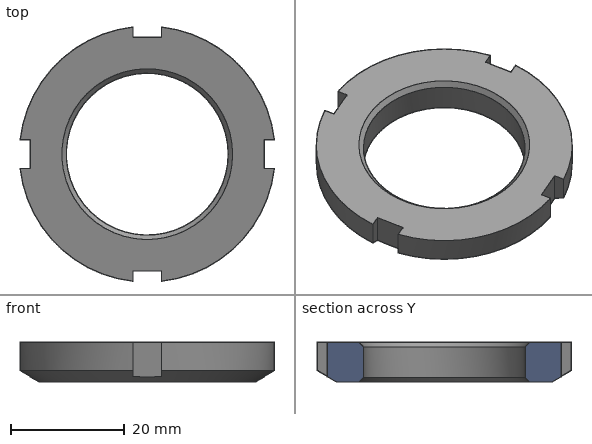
import cadquery as cq
import math

span_across_slots = 44.7
thickness = 7.0
bottom_face_diameter = 38.0
rim_bevel_height = 2.05
bore_diameter = 28.4
bore_chamfer = 0.8
slot_width = 5.0
slot_floor_distance = 20.55
slot_count = 4

outer_radius = math.hypot(span_across_slots / 2, slot_width / 2)
bottom_radius = bottom_face_diameter / 2
bore_radius = bore_diameter / 2
bore_mouth_radius = bore_radius + bore_chamfer


def make_ring():
    """Revolve the section, with both bore edges chamfered."""
    return (
        cq.Workplane("XZ")
        .moveTo(bore_mouth_radius, 0)
        .lineTo(bottom_radius, 0)
        .lineTo(outer_radius, rim_bevel_height)
        .lineTo(outer_radius, thickness)
        .lineTo(bore_mouth_radius, thickness)
        .lineTo(bore_radius, thickness - bore_chamfer)
        .lineTo(bore_radius, bore_chamfer)
        .close()
        .revolve(360, (0, 0, 0), (0, 1, 0))
    )


def make_slot_cutter(angle):
    """Make a full-height block that runs outward from a slot floor."""
    return (
        cq.Workplane("XY")
        .box(outer_radius, slot_width, thickness, centered=(False, True, False))
        .translate((slot_floor_distance, 0, 0))
        .rotate((0, 0, 0), (0, 0, 1), angle)
    )


result = make_ring()
for index in range(slot_count):
    result = result.cut(make_slot_cutter(index * 360 / slot_count))